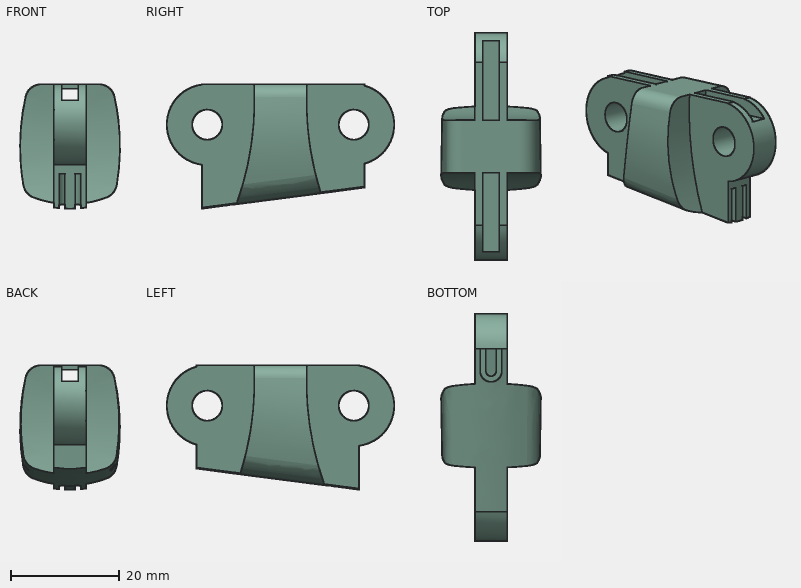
import cadquery as cq
import math

eye_pitch = 27.0
eye_radius = 7.475
eye_bore_diameter = 5.5
plate_width = 6.0
top_z = eye_radius

web_back_y = 15.5
web_front_y = -14.5
depth_at_back = 19.1
depth_at_front = 22.98

top_half_width = 7.61
flank_radius = 41.3
widest_below_middle = 0.5
belly_radius = 19.6
edge_fillet = 3.0
end_half_length = 4.8
end_face_radius = 56.0
end_face_narrowest_depth = 3.1

strap_width = 3.0
strap_floor_depth = 2.95
bridge_thickness = 0.9
bridge_half_length = 4.87

groove_outer_radius = 2.0
groove_inner_radius = 0.95
groove_bend_y = -10.4
groove_roof_z = top_z - 16.5

clearance = 5.0
overall_length = eye_pitch + 2 * eye_radius


def block(width, y_start, y_end, z_low, z_high):
    """Box centred on X = 0 between the given Y and Z limits."""
    size = (width, y_end - y_start, z_high - z_low)
    return cq.Workplane("XY").box(*size).translate((0, (y_start + y_end) / 2, (z_low + z_high) / 2))


def section(y, depth):
    """Cross-section at y: flat top, bulging flanks and a rounded belly."""
    flank_z = top_z - depth / 2 - widest_below_middle
    flank_x = top_half_width - math.sqrt(flank_radius**2 - (top_z - flank_z) ** 2)
    belly_z = top_z - depth + belly_radius

    dx = -flank_x
    dz = belly_z - flank_z
    distance = math.hypot(dx, dz)
    along = (distance**2 + flank_radius**2 - belly_radius**2) / (2 * distance)
    across = math.sqrt(flank_radius**2 - along**2)
    corner_x = flank_x + (along * dx + across * dz) / distance
    corner_z = flank_z + (along * dz - across * dx) / distance

    widest_x = flank_x + flank_radius
    return (
        cq.Workplane("XZ", origin=(0, y, 0))
        .moveTo(-top_half_width, top_z)
        .lineTo(top_half_width, top_z)
        .threePointArc((widest_x, flank_z), (corner_x, corner_z))
        .threePointArc((0, top_z - depth), (-corner_x, corner_z))
        .threePointArc((-widest_x, flank_z), (-top_half_width, top_z))
        .close()
        .wires()
        .val()
    )


def tapered_bar():
    """Bar deepening from the back to the front of the web, with its long edges rounded."""
    sections = [section(web_back_y, depth_at_back), section(web_front_y, depth_at_front)]
    bar = cq.Workplane(cq.Solid.makeLoft(sections, True))
    full_length = web_back_y - web_front_y
    long_edges = bar.edges().filter(lambda edge: edge.BoundingBox().ylen > full_length / 2)
    return long_edges.fillet(edge_fillet)


def end_limits():
    """Slab with two concave end faces that flare the body out towards its underside."""
    narrowest_z = top_z - end_face_narrowest_depth
    low_z = top_z - depth_at_front
    drop = narrowest_z - low_z
    low_flare = end_face_radius - math.sqrt(end_face_radius**2 - drop**2)
    top_flare = end_face_radius - math.sqrt(end_face_radius**2 - end_face_narrowest_depth**2)
    top_y = end_half_length + top_flare
    low_y = end_half_length + low_flare
    return (
        cq.Workplane("YZ")
        .moveTo(-top_y, top_z)
        .lineTo(top_y, top_z)
        .threePointArc((end_half_length, narrowest_z), (low_y, low_z))
        .lineTo(-low_y, low_z)
        .threePointArc((-end_half_length, narrowest_z), (-top_y, top_z))
        .close()
        .extrude(top_half_width + clearance, both=True)
    )


def eyes(radius, width):
    """Pair of discs along X at the two eye axes."""
    centres = [(-eye_pitch / 2, 0), (eye_pitch / 2, 0)]
    return cq.Workplane("YZ").pushPoints(centres).circle(radius).extrude(width / 2, both=True)


def strap_slot():
    """Slot along the top, running as a tunnel beneath the bridge."""
    floor_z = top_z - strap_floor_depth
    half_length = overall_length / 2 + clearance
    slot = block(strap_width, -half_length, half_length, floor_z, top_z + clearance)
    bridge = block(
        strap_width, -bridge_half_length, bridge_half_length, top_z - bridge_thickness, top_z + clearance
    )
    return slot.cut(bridge)


def u_shape(radius):
    """Round-ended tongue entering the web from its front face."""
    low_z = top_z - depth_at_front - clearance
    straight = block(2 * radius, web_front_y - clearance, groove_bend_y, low_z, groove_roof_z)
    bend = (
        cq.Workplane("XY", origin=(0, groove_bend_y, low_z)).circle(radius).extrude(groove_roof_z - low_z)
    )
    return straight.union(bend)


bar = tapered_bar()
body = bar.intersect(end_limits())
web = bar.intersect(block(plate_width, web_front_y, web_back_y, top_z - depth_at_front, top_z))

result = (
    web.union(body)
    .union(eyes(eye_radius, plate_width))
    .cut(eyes(eye_bore_diameter / 2, plate_width + clearance))
    .cut(strap_slot())
    .cut(u_shape(groove_outer_radius).cut(u_shape(groove_inner_radius)))
)